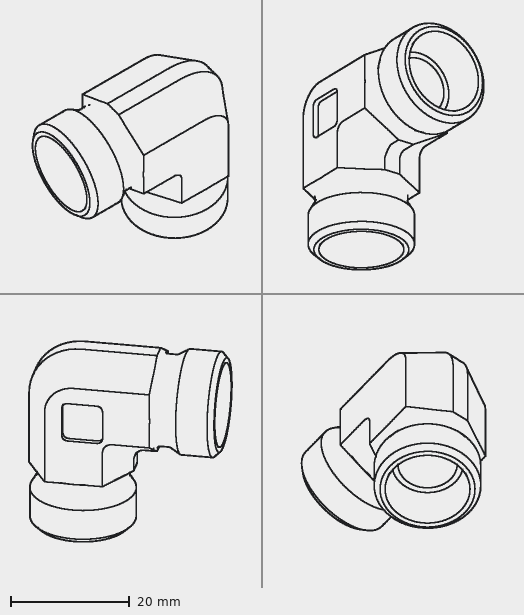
import cadquery as cq
import math

overall_length = 33.0
port_diameter = 18.0
port_radius = port_diameter / 2
port_end = overall_length - port_radius

body_half_height = port_radius
body_half_width = 8.5
flat_half_width = 1.55
bevel_angle = 30.0
body_end = 13.0
inner_corner_fillet = 1.98

neck_radius = 15.7 / 2
neck_root_fillet = 1.0
neck_cone_fillet = 1.0
cone_angle = 30.0
cone_end = 17.62
rim_chamfer = 1.0

mouth_radius = 7.15
socket_radius = 12.0 / 2
socket_depth = 7.0
socket_cone_angle = 12.0
bore_radius = 10.0 / 2
drill_tip_angle = 118.0

recess_size = 7.0
recess_center = -1.5
recess_corner_radius = 1.0
recess_depth = 1.0

TOLERANCE = 0.0003

bevel_slope = math.tan(math.radians(bevel_angle))
bevel_drop = (body_half_width - flat_half_width) * bevel_slope
side_half_height = body_half_height - bevel_drop

upper_section = [
    (-body_half_width, side_half_height),
    (-flat_half_width, body_half_height),
    (flat_half_width, body_half_height),
    (body_half_width, side_half_height),
]
lower_section = [(x, -y) for x, y in reversed(upper_section)]


def to_front(downward_shape):
    """Mirror a shape in the plane y = z, so that one along -Z points along -Y."""
    return downward_shape.rotate((0, 0, 0), (1, 0, 0), -90).mirror("XY")


def section_bar(section, length):
    """Straight bar from the origin down to -Z."""
    return cq.Workplane("XY").polyline(section).close().extrude(-length)


def revolve_about_z(profile):
    """Close an XZ profile and turn it about the Z axis."""
    return profile.close().revolve(360, (0, 0, 0), (0, 1, 0))


def on_corner_edge(edge):
    """True for an edge in the plane y = z that runs across the elbow."""
    return all(abs(end.Y - end.Z) < TOLERANCE for end in edge.Vertices())


def inner_void(start, end):
    """Space inside the elbow beyond one pair of faces, rounded where the two meet.

    The section line from start to end gives the face on the lower leg; the front leg mirrors it.
    """
    far = 2 * body_end
    wedge = section_bar([start, end, (end[0], -far), (start[0], -far)], far)
    void = wedge.intersect(to_front(wedge))
    return void.edges().filter(on_corner_edge).edges(">Z").fillet(inner_corner_fillet)


def elbow_body():
    """Octagonal elbow: an outer block with the space inside the elbow cut away."""
    block_section = upper_section + [(body_half_width, -body_end), (-body_half_width, -body_end)]
    leg_block = section_bar(block_section, body_end)
    half_section = [(-body_half_width, 0)] + upper_section + [(body_half_width, 0)]
    outer_bend = (
        cq.Workplane("XZ").polyline(half_section).close().revolve(90, (0, 0, 0), (-1, 0, 0))
    )
    block = leg_block.union(to_front(leg_block)).union(outer_bend)

    flat_void = inner_void(
        (-2 * body_half_width, -body_half_height),
        (2 * body_half_width, -body_half_height),
    )
    overrun = body_half_width / 2
    bevel_void = inner_void(
        (-body_half_width - overrun, -side_half_height + overrun * bevel_slope),
        (body_half_width, -side_half_height - 2 * body_half_width * bevel_slope),
    )
    return block.cut(flat_void).cut(bevel_void).cut(bevel_void.mirror("YZ"))


def port_outside():
    """Neck, cone and rim of the downward port."""
    cone_slope = math.tan(math.radians(cone_angle))
    cone_start = cone_end - (port_radius - neck_radius) / cone_slope
    half_turn = math.radians(cone_angle / 2)
    neck_end = cone_start - neck_cone_fillet * math.tan(half_turn)
    arc_center_radius = neck_radius + neck_cone_fillet

    def cone_fillet_point(turn):
        return (
            arc_center_radius - neck_cone_fillet * math.cos(turn),
            -neck_end - neck_cone_fillet * math.sin(turn),
        )

    profile = (
        cq.Workplane("XZ")
        .moveTo(0, -body_end)
        .lineTo(neck_radius, -body_end)
        .lineTo(neck_radius, -neck_end)
        .threePointArc(cone_fillet_point(half_turn), cone_fillet_point(2 * half_turn))
        .lineTo(port_radius, -cone_end)
        .lineTo(port_radius, -port_end + rim_chamfer)
        .lineTo(port_radius - rim_chamfer, -port_end)
        .lineTo(0, -port_end)
    )
    return revolve_about_z(profile)


def neck_root():
    """Flared fillet between body and neck, trimmed to the body section."""
    root_end = body_end + neck_root_fillet
    flare_radius = neck_radius + neck_root_fillet
    arc_drop = neck_root_fillet * (1 - math.sqrt(0.5))
    profile = (
        cq.Workplane("XZ")
        .moveTo(0, -body_end)
        .lineTo(flare_radius, -body_end)
        .threePointArc((neck_radius + arc_drop, -body_end - arc_drop), (neck_radius, -root_end))
        .lineTo(0, -root_end)
    )
    return revolve_about_z(profile).intersect(section_bar(upper_section + lower_section, root_end))


def port_inside():
    """Tapered mouth, tube socket and drilled bore of the downward port."""
    mouth_depth = (mouth_radius - socket_radius) / math.tan(math.radians(socket_cone_angle))
    tip_height = bore_radius / math.tan(math.radians(drill_tip_angle / 2))
    profile = cq.Workplane("XZ").polyline([
        (0, -port_end),
        (mouth_radius, -port_end),
        (socket_radius, -port_end + mouth_depth),
        (socket_radius, -port_end + socket_depth),
        (bore_radius, -port_end + socket_depth),
        (bore_radius, 0),
        (0, tip_height),
    ])
    return revolve_about_z(profile)


def side_recess():
    """Rounded square pocket in the -X side."""
    return (
        cq.Workplane("XY")
        .box(recess_depth, recess_size, recess_size, centered=(False, True, True))
        .edges("|X")
        .fillet(recess_corner_radius)
        .translate((-body_half_width, recess_center, recess_center))
    )


port = port_outside().union(neck_root())
bore = port_inside()
result = elbow_body().union(port).union(to_front(port))
result = result.cut(bore).cut(to_front(bore)).cut(side_recess())